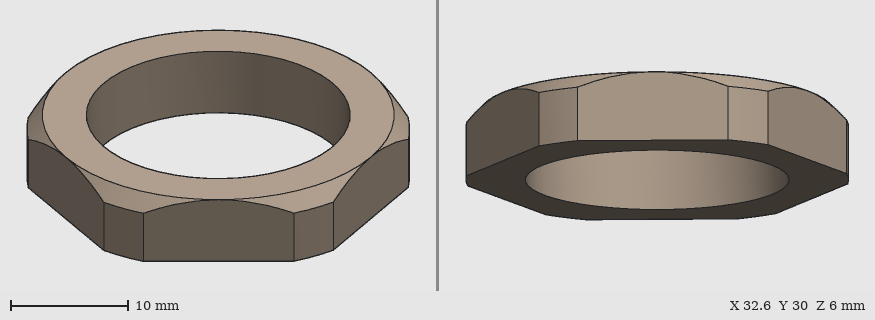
import cadquery as cq
import math

ACROSS_FLATS = 30.0
CORNER_DIAMETER = 32.63
HEIGHT = 6.0
BORE_DIAMETER = 22.5
TOP_FACE_DIAMETER = ACROSS_FLATS
CHAMFER_ANGLE = 45.0

HEX_SIDES = 6
ACROSS_CORNERS = ACROSS_FLATS / math.cos(math.pi / HEX_SIDES)
CHAMFER_WIDTH = (CORNER_DIAMETER - TOP_FACE_DIAMETER) / 2
CHAMFER_HEIGHT = CHAMFER_WIDTH * math.tan(math.radians(CHAMFER_ANGLE))


def hexagon_prism():
    """Hexagon with corners on the X axis and flats facing +Y and -Y."""
    return cq.Workplane("XY").polygon(HEX_SIDES, ACROSS_CORNERS).extrude(HEIGHT)


def chamfered_envelope():
    """Turned cylinder that rounds the corners and cones the top edge."""
    corner_radius = CORNER_DIAMETER / 2
    return (
        cq.Workplane("XZ")
        .lineTo(corner_radius, 0)
        .lineTo(corner_radius, HEIGHT - CHAMFER_HEIGHT)
        .lineTo(TOP_FACE_DIAMETER / 2, HEIGHT)
        .lineTo(0, HEIGHT)
        .close()
        .revolve(360, (0, 0, 0), (0, 1, 0))
    )


def bore():
    """Plain through hole on the nut axis."""
    return cq.Workplane("XY").circle(BORE_DIAMETER / 2).extrude(HEIGHT)


result = hexagon_prism().intersect(chamfered_envelope()).cut(bore())